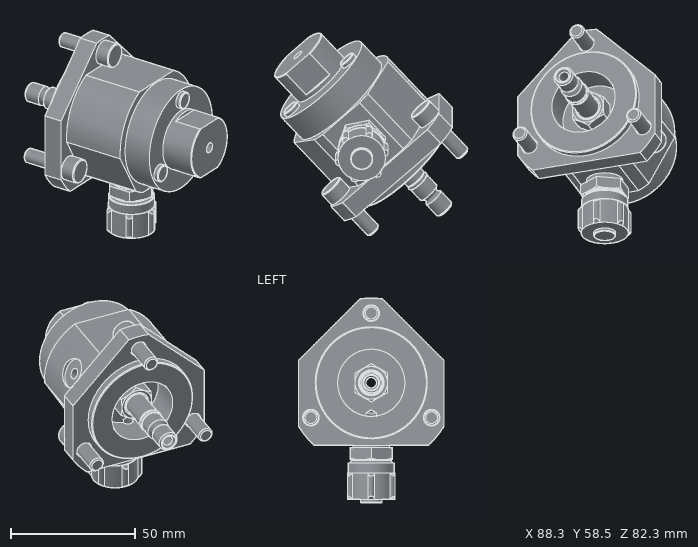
import cadquery as cq
import math


shaft_tip_x = -28.0
pilot_front_x = -3.4
plate_back_x = 8.0
body_back_x = 34.35
cover_back_x = 46.3
hub_flat_x = 48.2
hub_back_x = 60.3

plate_radius = 34.1
plate_width = 58.5
plate_bottom_z = -25.2
plate_diagonal_sum = 38.2
pilot_diameter = 45
pilot_chamfer = 0.35

body_diameter = 51.0
body_top_z = 22.5
body_bottom_z = -23.5
body_side_flat = 23.05
cover_diameter = 44.1
hub_diameter = 25.4
hub_across_flats = 22.0
hub_chamfer = 0.3

hex_side_count = 6
hex_bevel_angle = 30

plate_screw_circle_radius = 28.0
plate_screw_diameter = 6.0
plate_hole_diameter = 6.6
plate_screw_tip_x = -12.0
plate_screw_chamfer = 0.6
plate_head_diameter = 10.0
plate_head_height = 5.9
screw_head_chamfer = 0.35

cover_screw_circle_radius = 17.7
cover_head_diameter = 7.0
cover_head_height = 1.9

cavity_diameter = 27.0
cavity_back_x = 10.0
shaft_diameter = 9.0
shaft_bore_diameter = 4.15
shaft_mouth_diameter = 6.0
shaft_mouth_depth = 1.1
tip_diameter = 8.0
tip_chamfer = 0.7
tip_land_back_x = -20.9
neck_diameter = 6.3
neck_edge_diameter = 7.2
neck_front_x = -20.5
neck_back_x = -18.8
shoulder_x = -18.0
ring_groove_diameter = 8.0
ring_groove_front_x = -12.1
ring_groove_back_x = -10.3
ring_diameter = 9.6
ring_wire_diameter = 1.4
nut_front_x = 1.8
nut_across_flats = 13.25
nut_chamfer_diameter = 13.1
nut_recess_diameter = 10.3
nut_recess_depth = 0.4

drain_x = 16.4
drain_tilt = 60
drain_diameter = 4.2
drain_spotface_diameter = 12.0
drain_spotface_level = 24.0
drain_bottom_level = 13.25

fitting_x = 22.0
fitting_stub_diameter = 14.8
fitting_hex_top_z = -26.05
fitting_hex_bottom_z = -30.7
fitting_hex_across_flats = 16.95
fitting_hex_chamfer_diameter = 17.8
fitting_neck_diameter = 16.3
fitting_neck_bottom_z = -31.3
fitting_cone_small_diameter = 15.7
fitting_cone_large_diameter = 17.5
fitting_collar_top_z = -32.2
fitting_collar_diameter = 18.5
fitting_nut_top_z = -36.2
fitting_nut_bottom_z = -46.9
fitting_nut_diameter = 19.0
fitting_rib_radius = 1.3
fitting_rib_count = 6
fitting_tube_bottom_z = -48.2
fitting_tube_diameter = 8.8
fitting_tube_chamfer = 0.3

port_x = 10.2
port_diameter = 4.15
port_bottom_z = -17.7
port_shoulder_z = -12.1
drill_point_angle = 118


def x_cylinder(x_start, x_end, diameter, y=0, z=0):
    """Cylinder parallel to X between two stations."""
    disc = cq.Workplane("YZ", origin=(x_start, y, z)).circle(diameter / 2)
    return disc.extrude(x_end - x_start)


def z_cylinder(z_top, z_bottom, diameter):
    """Cylinder on the fitting axis between two heights."""
    disc = cq.Workplane("XY", origin=(fitting_x, 0, z_bottom)).circle(diameter / 2)
    return disc.extrude(z_top - z_bottom)


def hex_diameter(across_flats):
    """Diameter of the circle through the corners of a hexagon."""
    return across_flats / math.cos(math.pi / hex_side_count)


def bevel_height(bevel_width):
    """Axial height of a hexagon corner bevel of a given radial width."""
    return bevel_width * math.tan(math.radians(hex_bevel_angle))


def circle_positions(radius):
    """Three (y, z) places on a circle, the first one at the top."""
    angles = [math.radians(angle) for angle in (90, 210, 330)]
    return [(radius * math.cos(a), radius * math.sin(a)) for a in angles]


def make_plate():
    """Round plate cut by two sides, a bottom edge and two 45 degree shoulders."""
    plate_half_width = plate_width / 2
    shoulder_z = plate_diagonal_sum - plate_half_width
    outline = (
        cq.Workplane("YZ")
        .moveTo(-plate_half_width, plate_bottom_z)
        .lineTo(plate_half_width, plate_bottom_z)
        .lineTo(plate_half_width, shoulder_z)
        .lineTo(0, plate_diagonal_sum)
        .lineTo(-plate_half_width, shoulder_z)
        .close()
        .extrude(plate_back_x)
    )
    return outline.intersect(x_cylinder(0, plate_back_x, 2 * plate_radius))


def make_body():
    """Round body with top and bottom flats and two flats beside the lower screws."""
    body = x_cylinder(plate_back_x, body_back_x, body_diameter)
    block_depth = body_diameter
    flats = ((0, body_top_z), (120, body_side_flat), (180, -body_bottom_z), (240, body_side_flat))
    for angle, distance in flats:
        block = (
            cq.Workplane("XY", origin=(0, 0, distance))
            .rect(2 * body_back_x, 2 * block_depth)
            .extrude(block_depth)
            .rotate((0, 0, 0), (1, 0, 0), angle)
        )
        body = body.cut(block)
    return body


def make_hub():
    """Hub with two wrench flats behind a short round shoulder."""
    hub = x_cylinder(cover_back_x, hub_back_x, hub_diameter).faces(">X").chamfer(hub_chamfer)
    flat_length = hub_back_x - hub_flat_x
    keep = cq.Workplane("YZ", origin=(hub_flat_x, 0, 0)).rect(hub_diameter, hub_across_flats)
    shoulder = x_cylinder(cover_back_x, hub_flat_x, hub_diameter)
    return hub.intersect(keep.extrude(flat_length)).union(shoulder)


def make_plate_screw(y, z):
    """Cap screw through the plate, with its head on the back face."""
    shank = x_cylinder(plate_screw_tip_x, plate_back_x, plate_screw_diameter, y, z)
    shank = shank.faces("<X").chamfer(plate_screw_chamfer)
    head = x_cylinder(plate_back_x, plate_back_x + plate_head_height, plate_head_diameter, y, z)
    return shank.union(head.faces(">X").chamfer(screw_head_chamfer))


def make_cover_screw(y, z):
    """Screw head on the back of the cover."""
    head = x_cylinder(cover_back_x, cover_back_x + cover_head_height, cover_head_diameter, y, z)
    return head.faces(">X").chamfer(screw_head_chamfer)


def make_shaft():
    """Turned shaft with a necked tip and a sealing ring in its groove."""
    shaft_radius = shaft_diameter / 2
    tip_radius = tip_diameter / 2
    neck_radius = neck_diameter / 2
    neck_edge_radius = neck_edge_diameter / 2
    neck_middle_x = (neck_front_x + neck_back_x) / 2
    groove_radius = ring_groove_diameter / 2
    shaft = (
        cq.Workplane("XY")
        .moveTo(shaft_tip_x, 0)
        .lineTo(shaft_tip_x, tip_radius - tip_chamfer)
        .lineTo(shaft_tip_x + tip_chamfer, tip_radius)
        .lineTo(tip_land_back_x, tip_radius)
        .lineTo(neck_front_x, neck_edge_radius)
        .threePointArc((neck_middle_x, neck_radius), (neck_back_x, neck_edge_radius))
        .lineTo(shoulder_x, shaft_radius)
        .lineTo(ring_groove_front_x, shaft_radius)
        .lineTo(ring_groove_front_x, groove_radius)
        .lineTo(ring_groove_back_x, groove_radius)
        .lineTo(ring_groove_back_x, shaft_radius)
        .lineTo(cavity_back_x, shaft_radius)
        .lineTo(cavity_back_x, 0)
        .close()
        .revolve(360, (0, 0, 0), (1, 0, 0))
    )
    wire_radius = ring_wire_diameter / 2
    ring = cq.Solid.makeTorus(
        ring_diameter / 2 - wire_radius,
        wire_radius,
        cq.Vector(ring_groove_front_x + wire_radius, 0, 0),
        cq.Vector(1, 0, 0),
    )
    return shaft.union(cq.Workplane(ring))


def make_shaft_nut():
    """Hexagon on the shaft inside the cavity, with a corner up and a bevelled front."""
    corner_diameter = hex_diameter(nut_across_flats)
    prism = (
        cq.Workplane("YZ", origin=(nut_front_x, 0, 0))
        .polygon(hex_side_count, corner_diameter)
        .extrude(cavity_back_x - nut_front_x)
        .rotate((0, 0, 0), (1, 0, 0), 90)
    )
    bevel_width = (corner_diameter - nut_chamfer_diameter) / 2
    envelope = x_cylinder(nut_front_x, cavity_back_x, corner_diameter)
    nut = prism.intersect(envelope.faces("<X").chamfer(bevel_height(bevel_width), bevel_width))
    return nut.cut(x_cylinder(nut_front_x, nut_front_x + nut_recess_depth, nut_recess_diameter))


def make_fitting_hex():
    """Wrench hexagon of the fitting, bevelled underneath."""
    corner_diameter = hex_diameter(fitting_hex_across_flats)
    prism = (
        cq.Workplane("XY", origin=(fitting_x, 0, fitting_hex_bottom_z))
        .polygon(hex_side_count, corner_diameter)
        .extrude(fitting_hex_top_z - fitting_hex_bottom_z)
    )
    bevel_width = (corner_diameter - fitting_hex_chamfer_diameter) / 2
    envelope = z_cylinder(fitting_hex_top_z, fitting_hex_bottom_z, corner_diameter)
    return prism.intersect(envelope.faces("<Z").chamfer(bevel_height(bevel_width), bevel_width))


def make_fitting_nut():
    """Round nut with half-round grip ribs whose ends slope back to the nut."""
    nut = z_cylinder(fitting_nut_top_z, fitting_nut_bottom_z, fitting_nut_diameter)
    ribs = (
        cq.Workplane("XY", origin=(fitting_x, 0, fitting_nut_bottom_z))
        .polarArray(fitting_nut_diameter / 2, 0, 360, fitting_rib_count)
        .circle(fitting_rib_radius)
        .extrude(fitting_nut_top_z - fitting_nut_bottom_z)
    )
    rib_envelope = z_cylinder(
        fitting_nut_top_z, fitting_nut_bottom_z, fitting_nut_diameter + 2 * fitting_rib_radius
    )
    return nut.union(ribs.intersect(rib_envelope.edges().chamfer(fitting_rib_radius)))


def make_fitting():
    """Stub, hexagon, neck, cone, collar, grip nut and hose end, from top to bottom."""
    fitting = z_cylinder(body_bottom_z, fitting_hex_top_z, fitting_stub_diameter)
    fitting = fitting.union(make_fitting_hex())
    fitting = fitting.union(z_cylinder(fitting_hex_bottom_z, fitting_neck_bottom_z, fitting_neck_diameter))
    cone = cq.Solid.makeCone(
        fitting_cone_small_diameter / 2,
        fitting_cone_large_diameter / 2,
        fitting_neck_bottom_z - fitting_collar_top_z,
        cq.Vector(fitting_x, 0, fitting_neck_bottom_z),
        cq.Vector(0, 0, -1),
    )
    fitting = fitting.union(cq.Workplane(cone))
    fitting = fitting.union(z_cylinder(fitting_collar_top_z, fitting_nut_top_z, fitting_collar_diameter))
    fitting = fitting.union(make_fitting_nut())
    tube = z_cylinder(fitting_nut_bottom_z, fitting_tube_bottom_z, fitting_tube_diameter)
    return fitting.union(tube.faces("<Z").chamfer(fitting_tube_chamfer))


def make_drain_cutter():
    """Spotfaced blind hole in the side of the body."""
    hole = cq.Workplane("XY", origin=(drain_x, 0, drain_bottom_level)).circle(drain_diameter / 2)
    hole = hole.extrude(drain_spotface_level - drain_bottom_level)
    spotface = (
        cq.Workplane("XY", origin=(drain_x, 0, drain_spotface_level))
        .circle(drain_spotface_diameter / 2)
        .extrude(body_diameter / 2 - drain_spotface_level)
    )
    return hole.union(spotface).rotate((0, 0, 0), (1, 0, 0), -drain_tilt)


def make_port_cutter():
    """Vertical blind hole with a conical top, half sunk in the back wall of the cavity."""
    radius = port_diameter / 2
    point_height = radius / math.tan(math.radians(drill_point_angle / 2))
    return (
        cq.Workplane("XZ", origin=(port_x, 0, 0))
        .moveTo(0, port_bottom_z)
        .lineTo(radius, port_bottom_z)
        .lineTo(radius, port_shoulder_z)
        .lineTo(0, port_shoulder_z + point_height)
        .close()
        .revolve(360, (0, 0, 0), (0, 1, 0))
    )


def make_bore_cutter():
    """Through bore with a conical mouth at the shaft tip."""
    mouth = cq.Solid.makeCone(
        shaft_mouth_diameter / 2,
        shaft_bore_diameter / 2,
        shaft_mouth_depth,
        cq.Vector(shaft_tip_x, 0, 0),
        cq.Vector(1, 0, 0),
    )
    return x_cylinder(shaft_tip_x, hub_back_x, shaft_bore_diameter).union(cq.Workplane(mouth))


result = x_cylinder(pilot_front_x, 0, pilot_diameter).faces("<X").chamfer(pilot_chamfer)
result = result.union(make_plate()).union(make_body())
result = result.union(x_cylinder(body_back_x, cover_back_x, cover_diameter)).union(make_hub())
result = result.cut(x_cylinder(pilot_front_x, cavity_back_x, cavity_diameter))
result = result.cut(make_drain_cutter()).cut(make_port_cutter())

result = result.union(make_fitting())
for screw_y, screw_z in circle_positions(plate_screw_circle_radius):
    result = result.cut(x_cylinder(0, plate_back_x, plate_hole_diameter, screw_y, screw_z))
    result = result.union(make_plate_screw(screw_y, screw_z))
for screw_y, screw_z in circle_positions(cover_screw_circle_radius):
    result = result.union(make_cover_screw(screw_y, screw_z))
result = result.union(make_shaft_nut()).union(make_shaft())
result = result.cut(make_bore_cutter())